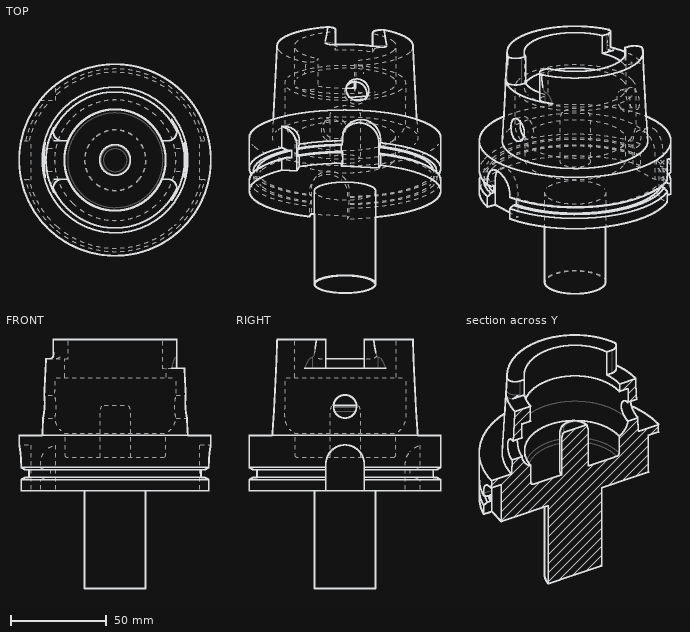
import cadquery as cq
import math


taper_height = 50.0
taper_base_radius = 38.0
taper_ratio = 10.0
taper_top_radius = taper_base_radius - taper_height / taper_ratio / 2

flange_radius = 50.0
flange_height = 29.0
groove_center_z = -19.95
groove_radius = 46.0
groove_floor_half_width = 1.92
groove_mouth_half_width = 3.2
groove_flank_angle = 30.0
groove_chamfer_height = groove_mouth_half_width - groove_floor_half_width
groove_shoulder_radius = flange_radius - groove_chamfer_height / math.tan(math.radians(groove_flank_angle))

shank_radius = 16.0
overall_height = 129.9
shank_end_z = taper_height - overall_height
shank_chamfer = 0.25

mouth_radius = 53.1 / 2
mouth_depth = 20.0
cavity_radius = 63.1 / 2
cavity_blend_z = 9.9
cavity_blend_radius = 10.0
well_radius = 26.3
well_floor_z = -11.5
well_fillet_radius = 1.5

boss_radius = 8.0
boss_cone_start_z = 12.6
boss_cone_height = 2.0
boss_cone_angle = 15.0
boss_crown_radius = 1.45

cross_hole_diameter = 12.0
cross_hole_z = 15.0

notch_half_width = 10.0
notch_corner_radius = 4.8
notch_corner_x = 32.22
shallow_notch_depth = 10.0
deep_notch_depth = 15.0
notch_floor_fillet = 1.6

keyway_radius = 10.0
keyway_top_z = -5.0
keyway_floor_x = 44.0
side_keyway_center_y = 41.2
side_keyway_floor_x = 31.2

reach = 2 * flange_radius


def make_body():
    upper_mouth_z = groove_center_z + groove_mouth_half_width
    upper_floor_z = groove_center_z + groove_floor_half_width
    lower_floor_z = groove_center_z - groove_floor_half_width
    lower_mouth_z = groove_center_z - groove_mouth_half_width
    return (
        cq.Workplane("XZ")
        .moveTo(0, taper_height)
        .lineTo(taper_top_radius, taper_height)
        .lineTo(taper_base_radius, 0)
        .lineTo(flange_radius, 0)
        .lineTo(flange_radius, upper_mouth_z)
        .lineTo(groove_shoulder_radius, upper_floor_z)
        .lineTo(groove_radius, upper_floor_z)
        .lineTo(groove_radius, lower_floor_z)
        .lineTo(groove_shoulder_radius, lower_floor_z)
        .lineTo(flange_radius, lower_mouth_z)
        .lineTo(flange_radius, -flange_height)
        .lineTo(shank_radius, -flange_height)
        .lineTo(shank_radius, shank_end_z + shank_chamfer)
        .lineTo(shank_radius - shank_chamfer, shank_end_z)
        .lineTo(0, shank_end_z)
        .close()
        .revolve(360, (0, 0), (0, 1))
    )


def make_bore():
    mouth_end_z = taper_height - mouth_depth
    blend_center_radius = cavity_radius - cavity_blend_radius
    blend_angle = math.acos((well_radius - blend_center_radius) / cavity_blend_radius)

    def blend_point(angle):
        r = blend_center_radius + cavity_blend_radius * math.cos(angle)
        z = cavity_blend_z - cavity_blend_radius * math.sin(angle)
        return (r, z)

    return (
        cq.Workplane("XZ")
        .moveTo(0, taper_height)
        .lineTo(mouth_radius, taper_height)
        .lineTo(mouth_radius, mouth_end_z)
        .lineTo(cavity_radius, mouth_end_z)
        .lineTo(cavity_radius, cavity_blend_z)
        .threePointArc(blend_point(blend_angle / 2), blend_point(blend_angle))
        .lineTo(well_radius, well_floor_z)
        .lineTo(0, well_floor_z)
        .close()
        .revolve(360, (0, 0), (0, 1))
        .faces("<Z")
        .edges()
        .fillet(well_fillet_radius)
    )


def make_boss():
    angle = math.radians(boss_cone_angle)
    cone_end_z = boss_cone_start_z + boss_cone_height
    cone_end_radius = boss_radius - boss_cone_height * math.tan(angle)
    crown_center_radius = cone_end_radius - boss_crown_radius * math.cos(angle)
    crown_center_z = cone_end_z - boss_crown_radius * math.sin(angle)
    crown_top_z = crown_center_z + boss_crown_radius
    middle_angle = (angle + math.pi / 2) / 2
    crown_middle = (
        crown_center_radius + boss_crown_radius * math.cos(middle_angle),
        crown_center_z + boss_crown_radius * math.sin(middle_angle),
    )
    return (
        cq.Workplane("XZ")
        .moveTo(0, well_floor_z)
        .lineTo(boss_radius, well_floor_z)
        .lineTo(boss_radius, boss_cone_start_z)
        .lineTo(cone_end_radius, cone_end_z)
        .threePointArc(crown_middle, (crown_center_radius, crown_top_z))
        .lineTo(0, crown_top_z)
        .close()
        .revolve(360, (0, 0), (0, 1))
    )


def make_cross_hole():
    hole = cq.Workplane("YZ", origin=(-reach, 0, cross_hole_z)).circle(cross_hole_diameter / 2)
    return hole.extrude(2 * reach)


def make_notch(depth, floor_fillet):
    """Notch cutter on the +X side, rounded towards the rim of the taper."""
    center_x = notch_corner_x - notch_corner_radius
    center_y = notch_half_width + notch_corner_radius
    end_angle = math.atan2(center_y, center_x)
    middle_angle = (end_angle - math.pi / 2) / 2

    def arc_point(angle, side):
        x = center_x + notch_corner_radius * math.cos(angle)
        y = center_y + notch_corner_radius * math.sin(angle)
        return (x, side * y)

    end_x, end_y = arc_point(end_angle, 1)
    flank_length = flange_radius - taper_top_radius
    flank_x = end_x - flank_length * math.sin(end_angle)
    flank_y = end_y + flank_length * math.cos(end_angle)
    floor_z = taper_height - depth
    cutter = (
        cq.Workplane("XY", origin=(0, 0, floor_z))
        .moveTo(0, -notch_half_width)
        .lineTo(center_x, -notch_half_width)
        .threePointArc(arc_point(middle_angle, -1), (end_x, -end_y))
        .lineTo(flank_x, -flank_y)
        .lineTo(reach, -flank_y)
        .lineTo(reach, flank_y)
        .lineTo(flank_x, flank_y)
        .lineTo(end_x, end_y)
        .threePointArc(arc_point(middle_angle, 1), (center_x, notch_half_width))
        .lineTo(0, notch_half_width)
        .close()
        .extrude(depth)
    )
    if floor_fillet > 0:
        cutter = cutter.faces("<Z").edges("%CIRCLE").fillet(floor_fillet)
        slot = cq.Workplane("XY", origin=(0, 0, floor_z))
        slot = slot.rect(reach, 2 * notch_half_width).extrude(depth).translate((reach / 2, 0, 0))
        cutter = cutter.union(slot)
    return cutter


def make_keyway(center_y, floor_x):
    """Round-topped keyway cutter on the -X side, open at the bottom of the flange."""
    arc_center_z = keyway_top_z - keyway_radius
    return (
        cq.Workplane("YZ", origin=(-reach, center_y, 0))
        .moveTo(-keyway_radius, -flange_height)
        .lineTo(-keyway_radius, arc_center_z)
        .threePointArc((0, keyway_top_z), (keyway_radius, arc_center_z))
        .lineTo(keyway_radius, -flange_height)
        .close()
        .extrude(reach - floor_x)
    )


def half_turn(shape):
    return shape.rotate((0, 0, 0), (0, 0, 1), 180)


result = make_body().cut(make_bore()).cut(make_cross_hole()).union(make_boss())
result = result.cut(make_notch(deep_notch_depth, 0))
result = result.cut(half_turn(make_notch(shallow_notch_depth, notch_floor_fillet)))
result = result.cut(make_keyway(0, keyway_floor_x))
result = result.cut(half_turn(make_keyway(0, keyway_floor_x)))
result = result.cut(make_keyway(side_keyway_center_y, side_keyway_floor_x))